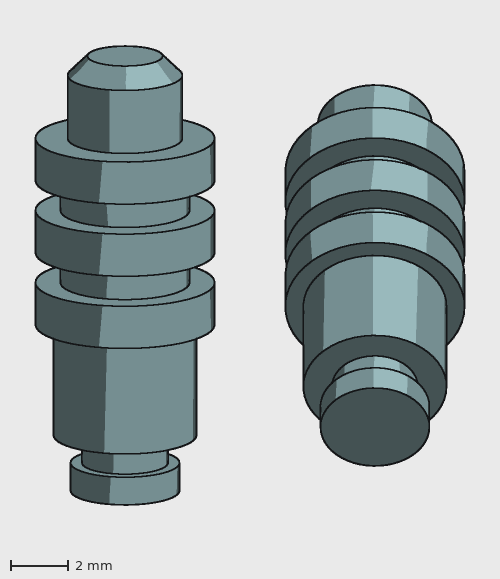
import cadquery as cq

total_height = 15.7
foot_diameter = 3.8
neck_diameter = 3.0
body_diameter = 5.0
flange_diameter = 6.25
groove_diameter = 4.5
pin_diameter = 4.0

foot_height = 1.0
neck_height = 1.0
body_height = 3.99
flange_height = 1.52
groove_height = 1.08
flange_count = 3
tip_chamfer = 0.69

body_bottom = foot_height + neck_height
flanges_bottom = body_bottom + body_height
flange_pitch = flange_height + groove_height
flanges_top = flanges_bottom + (flange_count - 1) * flange_pitch + flange_height


def cylinder(diameter, bottom, top):
    """Upright cylinder on the Z axis between two heights."""
    return cq.Workplane("XY").workplane(offset=bottom).circle(diameter / 2).extrude(top - bottom)


foot = cylinder(foot_diameter, 0, foot_height)
neck = cylinder(neck_diameter, foot_height, body_bottom)
body = cylinder(body_diameter, body_bottom, flanges_bottom)

core = cylinder(groove_diameter, flanges_bottom, flanges_top)

pin = cylinder(pin_diameter, flanges_top, total_height).faces(">Z").chamfer(tip_chamfer)

result = foot.union(neck).union(body).union(core).union(pin)

for index in range(flange_count):
    flange_bottom = flanges_bottom + index * flange_pitch
    result = result.union(cylinder(flange_diameter, flange_bottom, flange_bottom + flange_height))